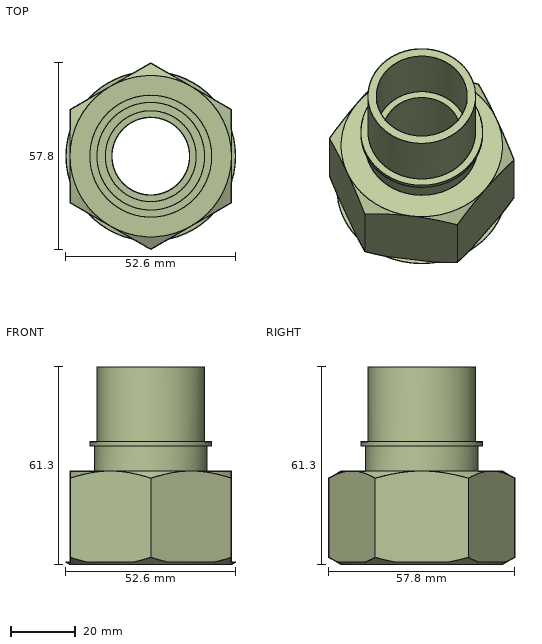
import cadquery as cq
import math

total_height = 61.25
nut_height = 29.0
collar_bottom = 36.7
collar_top = 38.1

corner_diameter = 57.75
flat_width = corner_diameter * math.cos(math.pi / 6)
chamfer_angle = math.radians(30)
rim_diameter = 52.6

neck_diameter = 35.0
collar_diameter = 37.8
tube_diameter = 33.4

through_diameter = 24.0
tube_bore_diameter = 28.2
tube_bore_floor = collar_top


def cylinder(diameter, bottom, top):
    return cq.Workplane("XY").workplane(offset=bottom).circle(diameter / 2).extrude(top - bottom)


def chamfer_rise(diameter):
    """Height the chamfer cone needs to widen from the flat width to the diameter."""
    return (diameter - flat_width) / 2 * math.tan(chamfer_angle)


def chamfered_hexagon():
    """Hexagonal prism whose corners are trimmed by a cone at each end."""
    prism = (
        cq.Workplane("XY")
        .polygon(6, corner_diameter)
        .extrude(nut_height)
        .rotate((0, 0, 0), (0, 0, 1), 30)
    )
    face_radius = flat_width / 2
    envelope_radius = corner_diameter / 2
    rise = chamfer_rise(corner_diameter)
    envelope = (
        cq.Workplane("XZ")
        .moveTo(0, 0)
        .lineTo(face_radius, 0)
        .lineTo(envelope_radius, rise)
        .lineTo(envelope_radius, nut_height - rise)
        .lineTo(face_radius, nut_height)
        .lineTo(0, nut_height)
        .close()
        .revolve(360, (0, 0, 0), (0, 1, 0))
    )
    return prism.intersect(envelope)


def bottom_rim():
    """Flat-topped disc that continues the lower chamfer cone past the flats."""
    rim_height = chamfer_rise(rim_diameter)
    return (
        cq.Workplane("XZ")
        .moveTo(0, 0)
        .lineTo(flat_width / 2, 0)
        .lineTo(rim_diameter / 2, rim_height)
        .lineTo(0, rim_height)
        .close()
        .revolve(360, (0, 0, 0), (0, 1, 0))
    )


nut = chamfered_hexagon().union(bottom_rim())
neck = cylinder(neck_diameter, 0, collar_bottom)
collar = cylinder(collar_diameter, collar_bottom, collar_top)
tube = cylinder(tube_diameter, collar_top, total_height)

body = nut.union(neck).union(collar).union(tube)
through_bore = cylinder(through_diameter, 0, total_height)
tube_bore = cylinder(tube_bore_diameter, tube_bore_floor, total_height)

result = body.cut(through_bore).cut(tube_bore)